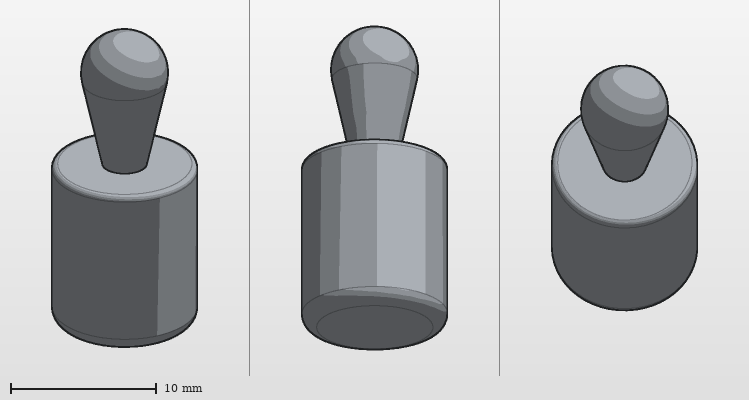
import cadquery as cq
import math

total_height = 22.0
body_diameter = 10.0
body_height = 12.0
top_edge_radius = 0.4
bottom_edge_radius = 1.01

ball_diameter = 6.0
neck_base_radius = 1.55

ball_radius = ball_diameter / 2
ball_center_z = total_height - ball_radius


def make_body():
    """Plain cylinder with a small round on top and a larger one below."""
    body = cq.Workplane("XY").circle(body_diameter / 2).extrude(body_height)
    body = body.faces(">Z").edges().fillet(top_edge_radius)
    return body.faces("<Z").edges().fillet(bottom_edge_radius)


def make_lever():
    """Revolved taper that widens upward and meets the ball tangentially."""
    neck_height = ball_center_z - body_height
    base_distance = math.hypot(neck_base_radius, neck_height)
    base_angle = math.atan2(-neck_height, neck_base_radius)
    tangent_angle = base_angle + math.acos(ball_radius / base_distance)

    def ball_point(angle):
        return (
            ball_radius * math.cos(angle),
            ball_center_z + ball_radius * math.sin(angle),
        )

    arc_middle_angle = (tangent_angle + math.pi / 2) / 2
    return (
        cq.Workplane("XZ")
        .moveTo(0, body_height)
        .lineTo(neck_base_radius, body_height)
        .lineTo(*ball_point(tangent_angle))
        .threePointArc(ball_point(arc_middle_angle), (0, total_height))
        .close()
        .revolve(360, (0, 0, 0), (0, 1, 0))
    )


result = make_body().union(make_lever())